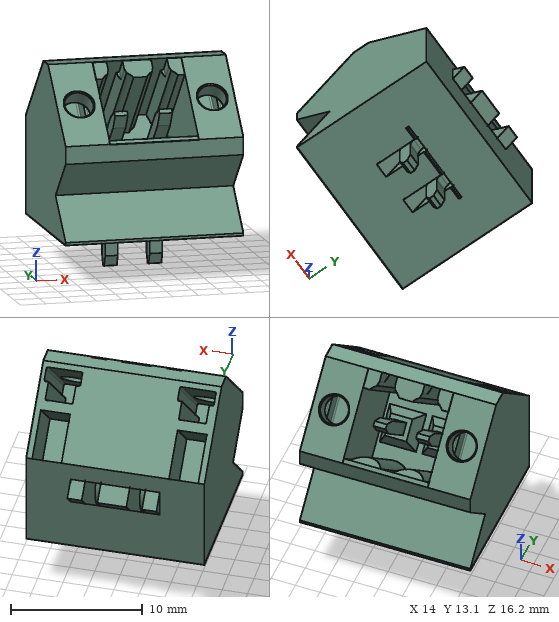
import cadquery as cq
import math


width = 14.0
height = 13.02
slope_run = 5.3
rear_slope_run = 5.39
top_flat = 1.4
front_height = 1.38
notch_depth = 3.05
body_depth = slope_run + top_flat + rear_slope_run
face_length = slope_run * math.sqrt(2)
rear_slope_v = top_flat / math.sqrt(2)
rear_edge_depth = rear_slope_v + rear_slope_run * math.sqrt(2)

block_width = 7.0
block_depth = 11.09
face_recess = 0.08
pole_pitch = 3.5
pole_x = (-pole_pitch / 2, pole_pitch / 2)

cavity_top_wall = 1.54
cavity_bottom_wall = 0.37
cavity_depth = 7.87
cavity_top = -cavity_top_wall
cavity_bottom = -face_length + cavity_bottom_wall

key_groove_radius = 1.46
key_groove_center = -2.35
wedge_top_width = 0.85
wedge_bottom_width = 1.5
wedge_height = 1.1
mouth_width = 1.27
mouth_depth = 1.69
mouth_fillet = 0.21

rib_width = 2.53
rib_height = 0.57
rib_ramp = 1.2

collar_height = 1.27
collar_base = 3.0
collar_top = 1.77

hole_x = 5.25
hole_radius = 1.12
hole_chamfer = 0.1
nut_front = 1.45
nut_thickness = 1.1
nut_width = 2.84
nut_fillet = 0.16
screw_slot_fillet = 0.13
screw_slot_width = 2.16
screw_slot_end = 3.98
nut_pocket_bottom = -6.75
rear_pocket_x = 5.37
rear_pocket_width = 2.3
rear_pocket_front = 4.79
rear_pocket_depth = 4.05

pin_size = 1.0
pin_v = -3.98
pin_tip_depth = 1.27
plug_taper = 1.22
leg_taper = 0.85
tip_size = 0.39
leg_y = 6.75
leg_length = 3.21
leg_bend_z = -0.21
bend_radius = 1.51
pin_slot_width = 1.23

DIAGONAL = math.sqrt(0.5)
run_end_y = leg_y + bend_radius * (1 - DIAGONAL)
run_end_z = leg_bend_z + bend_radius * DIAGONAL
run_depth = ((run_end_y - slope_run) - (run_end_z - height)) * DIAGONAL
pin_slot_front = run_depth - bend_radius
pin_slot_bottom = -11.36

face_plane = cq.Plane(origin=(0, slope_run, height), xDir=(1, 0, 0), normal=(0, -1, 1))
DEEPEST_FACE = cq.selectors.DirectionMinMaxSelector(cq.Vector(0, -1, 1), False)
SLOPE_EDGES = cq.selectors.ParallelDirSelector(cq.Vector(0, 1, 1))


def face_box(x, box_width, v_low, v_high, depth_start, depth_end):
    """Box squared to the mating face, centred on x, between two depths below the face."""
    return (
        cq.Workplane(face_plane)
        .workplane(offset=-depth_end)
        .center(x, (v_low + v_high) / 2)
        .rect(box_width, v_high - v_low)
        .extrude(depth_end - depth_start)
    )


def face_point(v, depth):
    """Y and Z of a point given by its place up the slope and its depth below the mating face."""
    return (slope_run + (v + depth) * DIAGONAL, height + (v - depth) * DIAGONAL)


def side_prism(x, points, length):
    """Prism along X, centred on x, with a Y-Z outline."""
    return cq.Workplane("YZ", origin=(x, 0, 0)).polyline(points).close().extrude(length / 2, both=True)


def make_shell():
    front_top = height - slope_run
    front_bottom = front_top - front_height
    outline = [
        (0, front_top),
        (slope_run, height),
        (slope_run + top_flat, height),
        (body_depth, height - rear_slope_run),
        (body_depth, 0),
        (0, 0),
        (0, front_bottom - 2 * notch_depth),
        (notch_depth, front_bottom - notch_depth),
        (0, front_bottom),
    ]
    return side_prism(0, outline, width)


def make_block():
    """Terminal block; its rear corners stand out of the back and the base of the shell."""
    return face_box(0, block_width, -face_length, 0, face_recess, block_depth)


def cut_cavity(body):
    recess = face_box(0, block_width, -face_length, 0, 0, face_recess)
    cavity = face_box(0, block_width, cavity_bottom, cavity_top, 0, cavity_depth)
    return body.cut(recess).cut(cavity)


def make_keyway(x):
    floor_plane = cq.Workplane(face_plane).workplane(offset=-cavity_depth)
    groove = floor_plane.center(x, key_groove_center).circle(key_groove_radius).extrude(cavity_depth)
    wedge = (
        floor_plane.center(x, 0)
        .polyline([
            (-wedge_top_width / 2, 0),
            (wedge_top_width / 2, 0),
            (wedge_bottom_width / 2, -wedge_height),
            (-wedge_bottom_width / 2, -wedge_height),
        ])
        .close()
        .extrude(cavity_depth)
    )
    mouth = (
        face_box(x, mouth_width, cavity_top, 0, 0, mouth_depth)
        .faces(DEEPEST_FACE)
        .edges(SLOPE_EDGES)
        .fillet(mouth_fillet)
    )
    return groove.union(wedge).union(mouth)


def make_rib(x):
    """Rounded rib along the lower cavity wall, ramped down to the wall at the mouth."""
    crest = cavity_bottom + rib_height
    rib = (
        cq.Workplane(face_plane)
        .workplane(offset=-cavity_depth)
        .moveTo(x - rib_width / 2, cavity_bottom)
        .threePointArc((x, crest), (x + rib_width / 2, cavity_bottom))
        .close()
        .extrude(cavity_depth - face_recess)
    )
    ramp = [
        face_point(cavity_bottom, face_recess),
        face_point(crest, face_recess),
        face_point(crest, rib_ramp),
    ]
    return rib.cut(side_prism(x, ramp, rib_width))


def make_collar(x):
    """Square collar on the cavity floor, narrowing toward the mouth."""
    taper = math.degrees(math.atan((collar_base - collar_top) / 2 / collar_height))
    return (
        cq.Workplane(face_plane)
        .workplane(offset=-cavity_depth)
        .center(x, pin_v)
        .rect(collar_base, collar_base)
        .extrude(collar_height, taper=taper)
    )


def make_pin_passage(x):
    """Square hole through the cavity floor and the open slot behind it that leads down to the base."""
    half = pin_size / 2
    hole = face_box(x, pin_size, pin_v - half, pin_v + half, cavity_depth - collar_height, pin_slot_front)
    slot = face_box(x, pin_slot_width, pin_slot_bottom, 0, pin_slot_front, block_depth)
    return hole.union(slot)


def make_screw_hole(side):
    center = cq.Workplane(face_plane).center(side * hole_x, -face_length / 2)
    hole = center.circle(hole_radius).extrude(-nut_front)
    chamfer = center.circle(hole_radius + hole_chamfer).extrude(-hole_chamfer, taper=45)
    return hole.union(chamfer)


def make_nut_pocket(side):
    """T-shaped pocket from the rear slope down past the screw hole."""
    x = side * hole_x
    nut_back = nut_front + nut_thickness
    nut = face_box(x, nut_width, nut_pocket_bottom, rear_slope_v, nut_front, nut_back)
    screw = face_box(x, screw_slot_width, nut_pocket_bottom, rear_slope_v, nut_front, screw_slot_end)
    rounded_nut = nut.edges(SLOPE_EDGES).fillet(nut_fillet)
    rounded_screw = screw.edges(SLOPE_EDGES).fillet(screw_slot_fillet)
    return rounded_nut.union(rounded_screw)


def make_rear_pocket(side):
    bottom = rear_slope_v - rear_pocket_depth
    return face_box(
        side * rear_pocket_x, rear_pocket_width, bottom, rear_slope_v, rear_pocket_front, rear_edge_depth
    )


def make_housing():
    body = cut_cavity(make_shell().union(make_block()))
    for x in pole_x:
        body = body.cut(make_keyway(x))
        body = body.union(make_rib(x)).union(make_collar(x))
        body = body.cut(make_pin_passage(x))
    for side in (-1, 1):
        body = body.cut(make_screw_hole(side)).cut(make_nut_pocket(side)).cut(make_rear_pocket(side))
    return body


def make_pin(x):
    """Square pin: plug end, bend, run parallel to the mating face, bend, upright leg."""
    half = pin_size / 2
    half_tip = tip_size / 2
    shoulder = pin_tip_depth + plug_taper
    bend_diagonal = bend_radius * (1 - DIAGONAL)
    leg_center_y = leg_y + bend_radius
    middle = math.pi / 8
    leg_shoulder_z = leg_taper - leg_length

    path = (
        cq.Workplane("YZ", origin=(x, 0, 0))
        .moveTo(*face_point(pin_v, shoulder))
        .lineTo(*face_point(pin_v, pin_slot_front))
        .threePointArc(
            face_point(pin_v - bend_diagonal, run_depth - bend_diagonal),
            face_point(pin_v - bend_radius, run_depth),
        )
        .lineTo(run_end_y, run_end_z)
        .threePointArc(
            (leg_center_y - bend_radius * math.cos(middle), leg_bend_z + bend_radius * math.sin(middle)),
            (leg_y, leg_bend_z),
        )
        .lineTo(leg_y, leg_shoulder_z)
    )
    bar = (
        cq.Workplane(face_plane)
        .workplane(offset=-shoulder)
        .center(x, pin_v)
        .rect(pin_size, pin_size)
        .sweep(path)
    )
    plug_tip = [
        face_point(pin_v - half, shoulder),
        face_point(pin_v - half_tip, pin_tip_depth),
        face_point(pin_v + half_tip, pin_tip_depth),
        face_point(pin_v + half, shoulder),
    ]
    leg_tip = [
        (leg_y - half, leg_shoulder_z),
        (leg_y - half_tip, -leg_length),
        (leg_y + half_tip, -leg_length),
        (leg_y + half, leg_shoulder_z),
    ]
    return bar.union(side_prism(x, plug_tip, pin_size)).union(side_prism(x, leg_tip, pin_size))


housing = make_housing()
pins = [make_pin(x) for x in pole_x]

result = cq.Compound.makeCompound([housing.solids().val(), *[pin.solids().val() for pin in pins]])